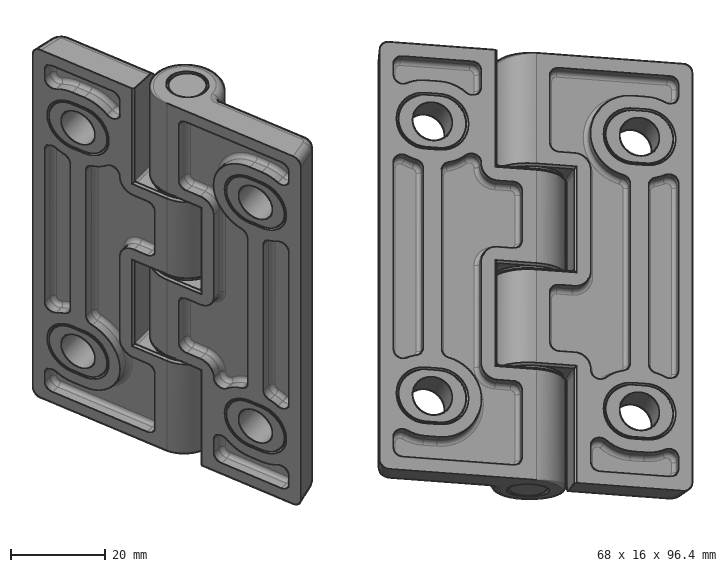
import cadquery as cq
import math

half_width = 34.0
half_height = 48.22
thickness = 8.0
barrel_radius = thickness
front = -thickness

end_draft = 3.0
side_draft = 10.0
side_round = 3.0
rim_round = 2.0
faded_round = 0.02
barrel_root_round = 0.5
groove_width = 6.0
groove_depth = 1.0

joint_heights = (22.5, 0.0, -22.5)
washer_thickness = 0.5
washer_radius = 7.5
pin_radius = 4.5
pin_half_length = 47.5
pin_chamfer = 0.5
half_gap = washer_thickness / 2
knuckle_chamfer = 0.5

notch_depth = barrel_radius + 0.4
notch_corner_round = 0.5

insert_x = 22.5
insert_z = 31.0
insert_straight = 3.0
insert_radius = 5.85
screw_hole_radius = 4.3
insert_seat_chamfer = 0.5

pocket_depth = 3.0
pocket_corner_round = 2.0
pocket_floor_round = 1.0
edge_rim = 3.0
notch_rim = 3.5
insert_rim = 2.8
rib_width = 4.0

side_inset = thickness * math.tan(math.radians(side_draft))
draft_slope = math.tan(math.radians(end_draft))
top_joint, middle_joint, bottom_joint = joint_heights
insert_positions = [(insert_x, insert_z), (insert_x, -insert_z)]
beyond_end = half_height + 10
notch_ranges = [(middle_joint - half_gap, top_joint + half_gap), (-beyond_end, bottom_joint + half_gap)]


def box(x_range, y_range, z_range):
    """Box between two limits on each axis."""
    sizes = [high - low for low, high in (x_range, y_range, z_range)]
    corner = (x_range[0], y_range[0], z_range[0])
    return cq.Workplane(cq.Solid.makeBox(*sizes, pnt=cq.Vector(*corner)))


def front_plane(y=front):
    """Plane facing -Y, with X to the right and Z up."""
    return cq.Workplane("XZ", origin=(0, y, 0))


def end_envelope():
    """Block whose two ends lean inward by the end draft towards +Y."""
    y_back = barrel_radius
    back_half_height = half_height - (y_back - front) * draft_slope
    return (
        cq.Workplane("YZ", origin=(-half_width, 0, 0))
        .polyline([
            (front, -half_height),
            (front, half_height),
            (y_back, back_half_height),
            (y_back, -back_half_height),
        ])
        .close()
        .extrude(2 * half_width)
    )


def nearest(x, y):
    """Selector of the edge nearest to a point of the Z = 0 section."""
    return cq.selectors.NearestToPointSelector((x, y, 0))


def round_end_rim(plate, end):
    """Round one end's rim: constant along plate and barrel back, fading out over the -X half of the barrel."""
    fading_edge = plate.faces(end).edges("<X").val()
    rounding = cq.occ_impl.shapes.BRepFilletAPI_MakeFillet(plate.val().wrapped)
    rounding.Add(rim_round, fading_edge.wrapped)
    last = rounding.NbEdges(1)
    if cq.Edge(rounding.Edge(1, 1)).Center().x < 0:
        rounding.SetRadius(faded_round, rim_round, 1, 1)
    else:
        rounding.SetRadius(rim_round, faded_round, 1, last)
    return cq.Workplane(cq.Shape.cast(rounding.Shape())).solids()


def leaf_plate():
    """Plate with the barrel along its whole height, rounded at both ends."""
    ends = end_envelope()
    groove = [(0, front), (groove_width / 2, front + groove_depth), (groove_width, front)]
    back_corner = half_width - side_inset
    plate = (
        cq.Workplane("XY", origin=(0, 0, -half_height))
        .polyline(groove)
        .lineTo(half_width, front)
        .lineTo(back_corner, 0)
        .lineTo(barrel_radius, 0)
        .radiusArc((0, barrel_radius), -barrel_radius)
        .radiusArc((0, front), -barrel_radius)
        .close()
        .extrude(2 * half_height)
    )
    plate = plate.edges(nearest(back_corner, 0)).fillet(side_round)
    plate = plate.edges(nearest(barrel_radius, 0)).fillet(barrel_root_round)
    plate = plate.intersect(ends).solids()
    for end in (">Z", "<Z"):
        plate = round_end_rim(plate, end)
    filling = (
        cq.Workplane("XY", origin=(0, 0, -half_height))
        .polyline(groove)
        .close()
        .extrude(2 * half_height)
        .intersect(ends)
    )
    return plate.union(filling)


def notch_block(z_range, growth, corner_round):
    """Block over a notch, grown on its three closed sides, with rounded corners along Y."""
    x_range = (-beyond_end, notch_depth + growth)
    grown_range = (z_range[0] - growth, z_range[1] + growth)
    return box(x_range, (front, barrel_radius), grown_range).edges("|Y").fillet(corner_round)


def notch_front_chamfer(z_range):
    """Cutter for the chamfer where a notch meets the front face."""
    sizes = (notch_depth + beyond_end, z_range[1] - z_range[0])
    centre = ((notch_depth - beyond_end) / 2, sum(z_range) / 2)
    deep = front_plane(front + knuckle_chamfer).center(*centre).rect(*sizes)
    opening = deep.workplane(offset=knuckle_chamfer)
    return opening.rect(*[size + 2 * knuckle_chamfer for size in sizes]).loft(ruled=True)


def barrel_chamfer(z_end, into_knuckle):
    """Cutter for the chamfer around a knuckle's end, from the front line round to the plate's back face."""
    inner = barrel_radius - knuckle_chamfer
    return (
        cq.Workplane("YZ")
        .polyline([
            (-inner, z_end),
            (front, z_end + into_knuckle * knuckle_chamfer),
            (2 * front, z_end + into_knuckle * knuckle_chamfer),
            (2 * front, z_end),
        ])
        .close()
        .revolve(270, (0, 0), (0, -1))
    )


def insert_slot(radius, depth, position):
    """Oblong prism around a screw position, starting at the front face."""
    width = insert_straight + 2 * radius
    return front_plane().center(*position).slot2D(width, 2 * radius).extrude(-depth)


def insert_seat(position):
    """Through opening for a screw insert, chamfered at the front."""
    seat = insert_slot(insert_radius, thickness, position)
    width = insert_straight + 2 * insert_radius
    y_chamfer_end = front + insert_seat_chamfer
    chamfer = (
        front_plane(y_chamfer_end)
        .center(*position)
        .slot2D(width, 2 * insert_radius)
        .workplane(offset=insert_seat_chamfer)
        .slot2D(width + 2 * insert_seat_chamfer, 2 * (insert_radius + insert_seat_chamfer))
        .loft(ruled=True)
    )
    return seat.union(chamfer)


def is_sharp(solid, edge):
    """Whether the two faces at an edge meet at an angle."""
    middle = edge.positionAt(0.5)
    normals = [
        face.normalAt(middle) for face in solid.Faces() if any(edge.isSame(other) for other in face.Edges())
    ]
    return normals[0].cross(normals[1]).Length > 0.1


def front_pockets():
    """Pocket bodies of the right leaf: corner pocket, side slot and the large pocket beside the barrel."""
    x_outer = half_width - edge_rim
    x_inner = edge_rim
    z_limit = half_height - edge_rim
    x_notch = notch_depth + notch_rim
    depth_range = (front, front + pocket_depth)
    surround_radius = insert_radius + insert_seat_chamfer + insert_rim
    corner = box((x_notch, x_outer), depth_range, (-z_limit, -insert_z))
    side = box((insert_x + rib_width / 2, x_outer), depth_range, (-insert_z, insert_z))
    large = box((x_inner, insert_x - rib_width / 2), depth_range, (-insert_z, insert_z)).union(
        box((x_inner, x_outer), depth_range, (insert_z, z_limit))
    )
    for z_range in notch_ranges:
        large = large.cut(notch_block(z_range, notch_rim, notch_rim))
    pockets = []
    for pocket in (corner, side, large):
        for position in insert_positions:
            pocket = pocket.cut(insert_slot(surround_radius, thickness, position))
        solid = pocket.val()
        corners = pocket.edges("|Y").filter(lambda edge: is_sharp(solid, edge))
        pocket = corners.fillet(pocket_corner_round)
        pockets.append(pocket.faces(">Y").edges().fillet(pocket_floor_round))
    return pockets


def pin_body():
    """Straight pin along the barrel axis, chamfered at both ends."""
    return (
        cq.Workplane("XY", origin=(0, 0, -pin_half_length))
        .circle(pin_radius)
        .extrude(2 * pin_half_length)
        .faces("|Z")
        .edges()
        .chamfer(pin_chamfer)
    )


def right_leaf_body():
    """Right leaf with the top knuckle and the one just below the middle."""
    leaf = leaf_plate()
    for z_range in notch_ranges:
        leaf = leaf.cut(notch_block(z_range, 0, notch_corner_round))
        leaf = leaf.cut(notch_front_chamfer(z_range))
    for joint, side in ((top_joint, 1), (middle_joint, -1), (bottom_joint, 1)):
        leaf = leaf.cut(barrel_chamfer(joint + side * half_gap, side))
    for position in insert_positions:
        leaf = leaf.cut(insert_seat(position))
    for pocket in front_pockets():
        leaf = leaf.cut(pocket)
    bore = cq.Workplane("XY", origin=(0, 0, -beyond_end)).circle(pin_radius).extrude(2 * beyond_end)
    return leaf.cut(bore)


def washer_body(height):
    """Washer between two knuckles."""
    bottom = height - half_gap
    return (
        cq.Workplane("XY", origin=(0, 0, bottom))
        .circle(washer_radius)
        .circle(pin_radius)
        .extrude(washer_thickness)
    )


def screw_insert_body(position):
    """Oblong insert with a round screw hole."""
    hole = front_plane().center(*position).circle(screw_hole_radius).extrude(-thickness)
    return insert_slot(insert_radius, thickness, position).cut(hole)


right_leaf = right_leaf_body()
left_leaf = right_leaf.rotate((0, 0, 0), (0, 1, 0), 180)
pin = pin_body()
washers = [washer_body(height).val() for height in joint_heights]
inserts = [screw_insert_body((side * x, z)).val() for side in (1, -1) for x, z in insert_positions]

result = cq.Compound.makeCompound([right_leaf.val(), left_leaf.val(), pin.val(), *washers, *inserts])